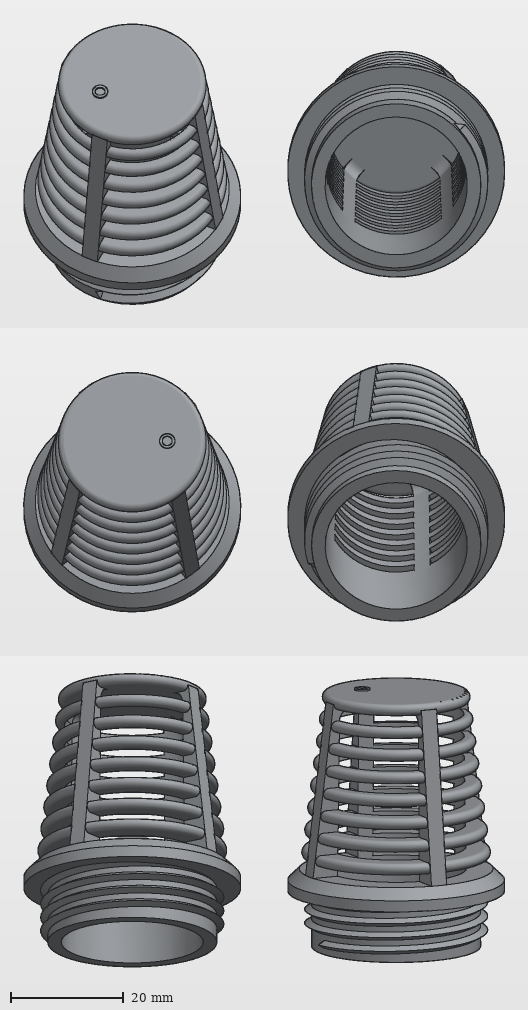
import cadquery as cq
import math


total_height = 46.3

mark_height = 0.3
mark_outer_diameter = 2.75
mark_inner_diameter = 1.75
mark_position = (-4.05, -4.7)

spigot_diameter = 30.0
flange_diameter = 38.48
flange_bottom = 10.0
flange_rim_height = 2.0
flange_height = 2 * flange_rim_height
flange_top = flange_bottom + flange_height

cage_base_diameter = 34.35
ring_thickness = 2.0
ring_inset = 0.05
ring_count = 7
lowest_ring_middle = 17.0
cap_top = total_height - mark_height
cap_middle = cap_top - ring_thickness / 2
ring_pitch = (cap_middle - lowest_ring_middle) / ring_count
cap_diameter = 26.3
cap_underside = cap_top - ring_thickness
rib_width = 3.0
rib_count = 4

bore_mouth_diameter = 25.2
bore_end_diameter = 24.0
bore_corner_radius = 2.0

thread_pitch = 2.5
thread_depth = 1.25
thread_start_height = 1.9
thread_turns = 3.6
thread_root_overlap = 0.15
thread_flank_angle = 30.0
thread_point_length = 1.55


def cage_radius(z):
    """Outer radius of the tapered cage at height z."""
    rise = (z - flange_top) / (cap_middle - flange_top)
    return (cage_base_diameter + rise * (cap_diameter - cage_base_diameter)) / 2


def round_edged_disc(z_middle):
    """Disc with a half-round edge set just inside the cage taper."""
    half = ring_thickness / 2
    outer = cage_radius(z_middle) - ring_inset
    return (
        cq.Workplane("XZ")
        .moveTo(0, z_middle - half)
        .lineTo(outer - half, z_middle - half)
        .threePointArc((outer, z_middle), (outer - half, z_middle + half))
        .lineTo(0, z_middle + half)
        .close()
        .revolve(360, (0, 0), (0, 1))
    )


def base_body():
    """Solid spigot with the flange above it, chamfered down to the cage diameter."""
    return (
        cq.Workplane("XZ")
        .lineTo(spigot_diameter / 2, 0)
        .lineTo(spigot_diameter / 2, flange_bottom)
        .lineTo(flange_diameter / 2, flange_bottom)
        .lineTo(flange_diameter / 2, flange_bottom + flange_rim_height)
        .lineTo(cage_base_diameter / 2, flange_top)
        .lineTo(0, flange_top)
        .close()
        .revolve(360, (0, 0), (0, 1))
    )


def rib_pair():
    """Two opposite ribs in one bar, with flat outer faces that follow the cage taper."""
    return (
        cq.Workplane("XZ")
        .moveTo(-cage_base_diameter / 2, flange_top)
        .lineTo(cage_base_diameter / 2, flange_top)
        .lineTo(cap_diameter / 2, cap_middle)
        .lineTo(-cap_diameter / 2, cap_middle)
        .close()
        .extrude(rib_width / 2, both=True)
    )


def bore():
    """Tapered core of the basket."""
    return (
        cq.Workplane("XZ")
        .lineTo(bore_mouth_diameter / 2, 0)
        .lineTo(bore_end_diameter / 2, cap_underside)
        .lineTo(0, cap_underside)
        .close()
        .revolve(360, (0, 0), (0, 1))
        .faces(">Z")
        .edges()
        .fillet(bore_corner_radius)
    )


def pyramid(base, apex):
    """Solid with a triangular base and a point at the apex."""
    outlines = [base]
    for index in range(len(base)):
        outlines.append([base[index - 1], base[index], apex])
    faces = [cq.Face.makeFromWires(cq.Wire.makePolygon(outline, close=True)) for outline in outlines]
    return cq.Workplane(cq.Solid.makeSolid(cq.Shell.makeShell(faces)))


def thread():
    """Right-hand V thread that starts in a point on the -Y side and runs out into the flange."""
    root = spigot_diameter / 2 - thread_root_overlap
    crest = spigot_diameter / 2 + thread_depth
    half_width = (crest - root) * math.tan(math.radians(thread_flank_angle))
    profile = [(root, -half_width), (crest, 0), (root, half_width)]
    helix = cq.Wire.makeHelix(thread_pitch, thread_turns * thread_pitch, root)
    ridge = cq.Workplane("XZ").polyline(profile).close().sweep(cq.Workplane(helix), isFrenet=True)
    base = [cq.Vector(x, 0, z) for x, z in profile]
    point = pyramid(base, cq.Vector(root, -thread_point_length, 0))
    point_angle = math.degrees(math.atan(thread_point_length / root))
    return (
        ridge.union(point)
        .rotate((0, 0, 0), (0, 0, 1), point_angle - 90)
        .translate((0, 0, thread_start_height))
    )


def ring_mark():
    """Small raised ring on top of the cap."""
    return (
        cq.Workplane("XY", origin=(*mark_position, cap_top))
        .circle(mark_outer_diameter / 2)
        .circle(mark_inner_diameter / 2)
        .extrude(mark_height)
    )


body = base_body()
for index in range(ring_count + 1):
    body = body.union(round_edged_disc(cap_middle - index * ring_pitch))
for index in range(rib_count // 2):
    body = body.union(rib_pair().rotate((0, 0, 0), (0, 0, 1), index * 360 / rib_count))

result = body.cut(bore()).union(thread()).union(ring_mark())